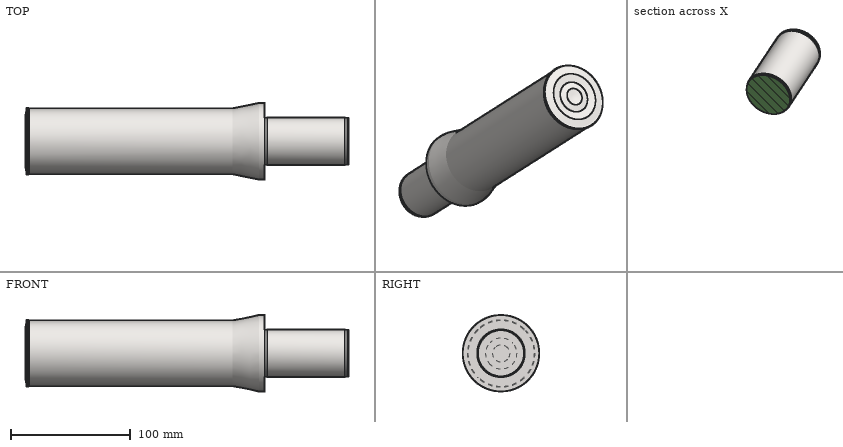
import cadquery as cq

TOTAL_LENGTH = 270.0
FACE_RIM_X = 1.0
BEAD_X = 2.2
BARREL_START_X = 3.5
FLARE_START_X = 173.0
FLANGE_START_X = 195.0
FLANGE_BACK_X = 199.8

BARREL_DIAMETER = 55.0
BEAD_DIAMETER = 56.2
FACE_DIAMETER = 51.8
FLANGE_DIAMETER = 64.0

OUTER_RIDGE_DIAMETER = 40.0
VALLEY_DIAMETER = 26.0
INNER_RIDGE_DIAMETER = 14.3
CORRUGATION_DEPTH = 1.0

STEM_DIAMETER = 40.0
NECK_DIAMETER = 39.5
NECK_LENGTH = 2.0
CHAMFER_LENGTH = 1.4
CHAMFER_DEPTH = 0.5
END_BAND_LENGTH = 3.5


def revolve_about_x(profile):
    """Turn a closed (x, radius) outline around the X axis."""
    return cq.Workplane("XY").polyline(profile).close().revolve(360, (0, 0, 0), (1, 0, 0))


def make_housing():
    """Barrel with a corrugated front face, a front bead and a flared flange."""
    return revolve_about_x([
        (CORRUGATION_DEPTH, 0),
        (0, INNER_RIDGE_DIAMETER / 2),
        (CORRUGATION_DEPTH, VALLEY_DIAMETER / 2),
        (0, OUTER_RIDGE_DIAMETER / 2),
        (FACE_RIM_X, FACE_DIAMETER / 2),
        (FACE_RIM_X, BARREL_DIAMETER / 2),
        (BEAD_X, BEAD_DIAMETER / 2),
        (BARREL_START_X, BARREL_DIAMETER / 2),
        (FLARE_START_X, BARREL_DIAMETER / 2),
        (FLANGE_START_X, FLANGE_DIAMETER / 2),
        (FLANGE_BACK_X, FLANGE_DIAMETER / 2),
        (FLANGE_BACK_X, 0),
    ])


def make_stem():
    """Stem on the back of the flange, with a slimmer neck and a chamfered end band."""
    neck_end = FLANGE_BACK_X + NECK_LENGTH
    band_start = TOTAL_LENGTH - END_BAND_LENGTH
    chamfer_start = TOTAL_LENGTH - CHAMFER_LENGTH
    return revolve_about_x([
        (FLANGE_BACK_X, 0),
        (FLANGE_BACK_X, NECK_DIAMETER / 2),
        (neck_end, NECK_DIAMETER / 2),
        (neck_end, STEM_DIAMETER / 2),
        (band_start, STEM_DIAMETER / 2),
        (band_start, NECK_DIAMETER / 2),
        (chamfer_start, NECK_DIAMETER / 2),
        (TOTAL_LENGTH, NECK_DIAMETER / 2 - CHAMFER_DEPTH),
        (TOTAL_LENGTH, 0),
    ])


housing = make_housing()
stem = make_stem()

result = cq.Compound.makeCompound([housing.val(), stem.val()])